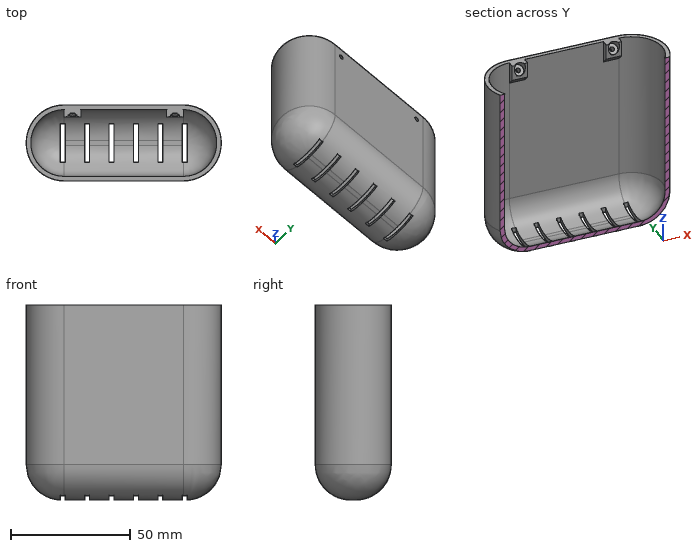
import cadquery as cq
import math

length = 82.0
depth = 32.0
height = 82.0
wall = 2.0
base_flat = 2.0
straight = length - depth
base_radius = (depth - base_flat) / 2

slot_count = 6
slot_pitch = 10.25
slot_width = 2.0
slot_length = 16.0

boss_width = 7.05
boss_reach = 3.0
boss_height = 7.0
boss_x = (straight - boss_width) / 2
inner_wall_y = depth / 2 - wall
boss_face_y = inner_wall_y - boss_reach

screw_angle = 45.0
screw_diameter = 2.0
head_diameter = 5.0
head_seat_inset = 2.0
bore_length = 24.6


def capsule(inset):
    """Solid slot-shaped body with a rounded base, offset inwards from the outer surface."""
    body = (
        cq.Workplane("XY", origin=(0, 0, inset))
        .slot2D(length - 2 * inset, depth - 2 * inset)
        .extrude(height - inset)
    )
    return body.faces("<Z").edges().fillet(base_radius - inset)


def drain_slots():
    """Row of slots, cut through the rounded base only."""
    return (
        cq.Workplane("XY")
        .rarray(slot_pitch, 0.8, slot_count, 1)
        .rect(slot_width, slot_length)
        .extrude(base_radius)
    )


def boss(x):
    """Screw boss at x, embedded in the back wall."""
    back_y = inner_wall_y + wall / 2
    underside_drop = (back_y - boss_face_y) * math.tan(math.radians(screw_angle))
    face_bottom = height - boss_height
    return (
        cq.Workplane("YZ", origin=(x - boss_width / 2, 0, 0))
        .moveTo(boss_face_y, height)
        .lineTo(back_y, height)
        .lineTo(back_y, face_bottom - underside_drop)
        .lineTo(boss_face_y, face_bottom)
        .close()
        .extrude(boss_width)
    )


def screw_hole(x):
    """Screw bore and head recess, running parallel to the boss underside."""
    slope = math.radians(screw_angle)
    axis_rise = boss_width / 2 / math.cos(slope)
    seat = cq.Vector(
        x,
        boss_face_y + head_seat_inset,
        height - boss_height + axis_rise - head_seat_inset * math.tan(slope),
    )
    inward = cq.Vector(0, -math.cos(slope), math.sin(slope))
    head = cq.Solid.makeCylinder(head_diameter / 2, bore_length, seat, inward)
    bore = cq.Solid.makeCylinder(screw_diameter / 2, bore_length, seat, -inward)
    return head.fuse(bore)


result = capsule(0).cut(capsule(wall)).cut(drain_slots())
for side in (-1, 1):
    result = result.union(boss(side * boss_x)).cut(cq.Workplane(screw_hole(side * boss_x)))